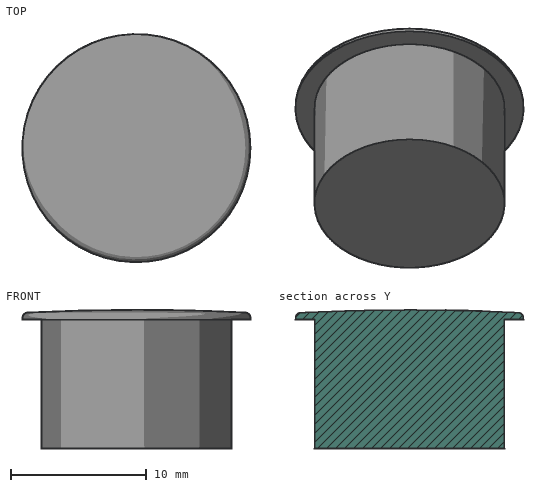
import cadquery as cq

total_height = 10.21
stem_diameter = 14.0
stem_height = 9.5
flange_diameter = 16.8
rim_land_height = 0.1
dome_diameter = 16.03
dome_rise = 0.2

stem_radius = stem_diameter / 2
flange_radius = flange_diameter / 2
dome_radius = dome_diameter / 2
land_top = stem_height + rim_land_height
dome_edge_height = total_height - dome_rise
dome_sphere_radius = (dome_radius**2 + dome_rise**2) / (2 * dome_rise)

profile = (
    cq.Workplane("XZ")
    .lineTo(stem_radius, 0)
    .lineTo(stem_radius, stem_height)
    .lineTo(flange_radius, stem_height)
    .lineTo(flange_radius, land_top)
    .tangentArcPoint((dome_radius, dome_edge_height), relative=False)
    .radiusArc((0, total_height), -dome_sphere_radius)
    .close()
)

result = profile.revolve(360, (0, 0, 0), (0, 1, 0))